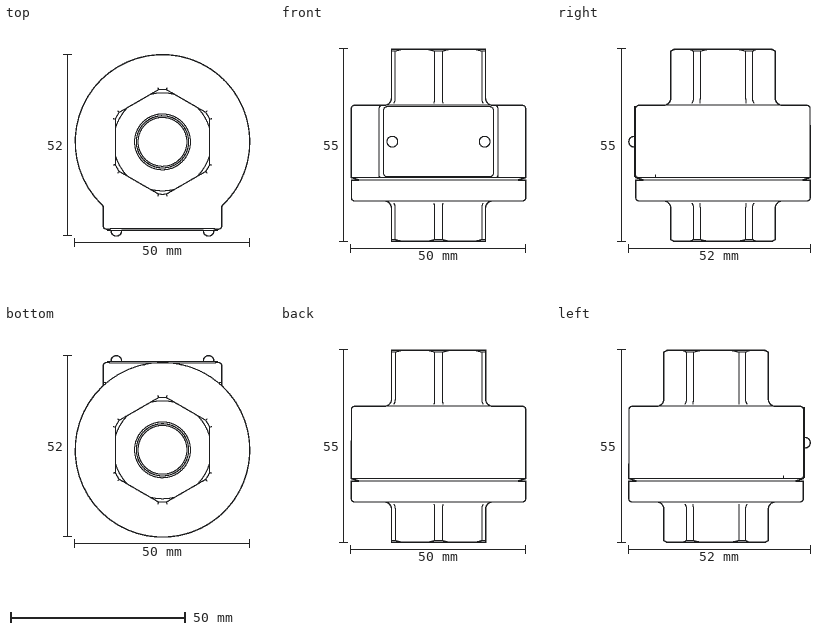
import cadquery as cq
import math

total_height = 55.0
flange_bottom = 11.55
flange_top = 17.55
body_bottom = 18.25
body_top = 39.0

body_diameter = 50.0
body_radius = body_diameter / 2
neck_radius = 22.65
edge_round = 1.0

across_flats = 27.0
corner_diameter = 30.0
end_face_diameter = 28.05
end_chamfer_angle = 30.0
hex_base_round = 2.0

bore_diameter = 14.95
bore_depth = 15.7
bore_taper = 1 / 16
mouth_diameter = 16.0

pad_width = 34.0
pad_front = body_radius
pad_bottom_round = 0.7
pad_round_start = 19.25
plate_width = 31.4
plate_height = 20.0
plate_middle = 28.55
plate_thickness = 0.35
plate_embed = 0.3
plate_corner_round = 1.0
rivet_radius = 1.55
rivet_spacing = 26.4
total_depth = 52.0
rivet_tip = total_depth - body_radius


def cylinder(radius, bottom, top):
    return cq.Workplane("XY").workplane(offset=bottom).circle(radius).extrude(top - bottom)


def cone(bottom_radius, top_radius, bottom, top):
    """Frustum around Z between two heights."""
    profile = [(0, bottom), (bottom_radius, bottom), (top_radius, top), (0, top)]
    return cq.Workplane("XZ").polyline(profile).close().revolve(360, (0, 0), (0, 1))


def make_flange():
    return cylinder(body_radius, flange_bottom, flange_top).faces("<Z").edges().fillet(edge_round)


def make_body():
    """Cylinder with a flat pad, all outer edges rounded."""
    pad = (
        cq.Workplane("XY")
        .workplane(offset=body_bottom)
        .center(0, -pad_front / 2)
        .rect(pad_width, pad_front)
        .extrude(body_top - body_bottom)
        .edges("|Z and <Y")
        .fillet(edge_round)
    )
    body = cylinder(body_radius, body_bottom, body_top).union(pad)
    body_middle = (body_bottom + body_top) / 2
    junction_y = -math.sqrt(body_radius**2 - (pad_width / 2) ** 2)
    for side in (-1, 1):
        corner = (side * pad_width / 2, junction_y, body_middle)
        body = body.edges(cq.selectors.NearestToPointSelector(corner)).fillet(edge_round)
    return body.faces(">Z").edges().fillet(edge_round).cut(make_pad_bottom_waste())


def make_pad_bottom_waste():
    """Material to remove below the pad so that its lower front and side edges are rounded."""
    length = pad_front - pad_round_start
    block = (
        cq.Workplane("XY")
        .workplane(offset=body_bottom)
        .center(0, -pad_round_start - length / 2)
        .rect(pad_width, length)
        .extrude(2 * pad_bottom_round)
        .edges("|Z and <Y")
        .fillet(edge_round)
    )
    rounded = block.faces("<Z").edges("not >Y").fillet(pad_bottom_round)
    return block.cut(rounded)


def make_name_plate():
    back = -pad_front + plate_embed
    front = -pad_front - plate_thickness
    plate = (
        cq.Workplane("XZ", origin=(0, back, plate_middle))
        .rect(plate_width, plate_height)
        .extrude(back - front)
        .edges("|Y")
        .fillet(plate_corner_round)
    )
    for side in (-1, 1):
        rivet_centre = (side * rivet_spacing / 2, rivet_radius - rivet_tip, plate_middle)
        plate = plate.union(cq.Workplane("XY").sphere(rivet_radius).translate(rivet_centre))
    return plate


def make_hex():
    """Full-height hexagon bar with turned corners and chamfered ends, flats facing +X and -X."""
    bar = (
        cq.Workplane("XY")
        .transformed(rotate=(0, 0, 30))
        .polygon(6, across_flats / math.cos(math.radians(30)))
        .extrude(total_height)
    )
    corner_radius = corner_diameter / 2
    face_radius = end_face_diameter / 2
    chamfer_height = (corner_radius - face_radius) * math.tan(math.radians(end_chamfer_angle))
    turned = (
        cylinder(corner_radius, chamfer_height, total_height - chamfer_height)
        .union(cone(face_radius, corner_radius, 0, chamfer_height))
        .union(cone(corner_radius, face_radius, total_height - chamfer_height, total_height))
    )
    return bar.intersect(turned)


def make_upper_bore():
    floor = total_height - bore_depth
    mouth_depth = (mouth_diameter - bore_diameter) / 2
    floor_radius = (bore_diameter - bore_taper * bore_depth) / 2
    taper = cone(floor_radius, bore_diameter / 2, floor, total_height)
    mouth = cone(bore_diameter / 2, mouth_diameter / 2, total_height - mouth_depth, total_height)
    return taper.union(mouth)


def round_hex_base(solid, height):
    """Round the inside corner where a hexagonal end meets the round body."""
    reach = corner_diameter / 2 + 0.55
    zone = cq.selectors.BoxSelector((-reach, -reach, height - 0.05), (reach, reach, height + 0.05))
    return solid.edges(zone).fillet(hex_base_round)


neck = cone(neck_radius, body_radius, flange_top, body_bottom)
result = make_body().union(neck).union(make_flange()).union(make_hex())
result = round_hex_base(result, flange_bottom)
result = round_hex_base(result, body_top)
result = result.union(make_name_plate())

upper_bore = make_upper_bore()
lower_bore = upper_bore.mirror("XY", (0, 0, total_height / 2))
result = result.cut(upper_bore).cut(lower_bore)